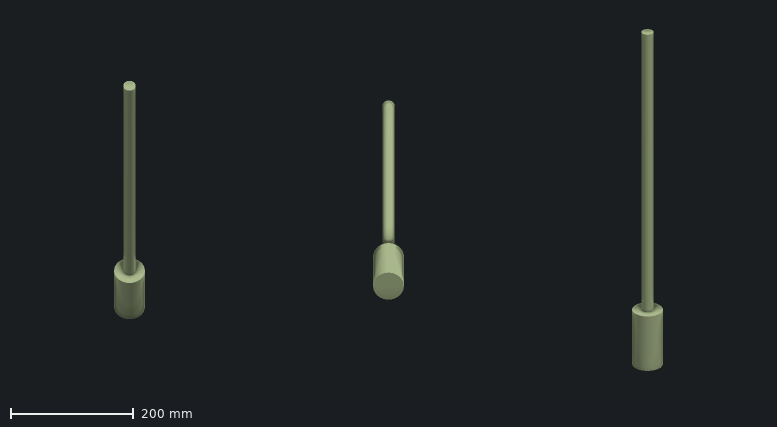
import cadquery as cq

total_height = 610.0
base_diameter = 50.0
base_height = 100.0
rod_diameter = 20.0

rod_length = total_height - base_height


def make_base():
    """Cylindrical base standing on the XY plane."""
    return cq.Workplane("XY").circle(base_diameter / 2).extrude(base_height)


def add_rod(body):
    """Slender rod rising from the centre of the base's top face."""
    return body.faces(">Z").workplane().circle(rod_diameter / 2).extrude(rod_length)


result = add_rod(make_base())